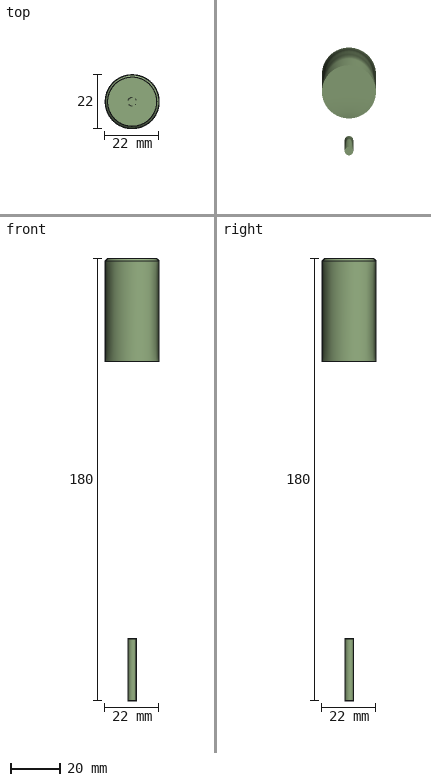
import cadquery as cq

overall_height = 180.0

cap_diameter = 22.0
cap_height = 42.0
rim_bevel = 1.0

pin_diameter = 3.5
pin_length = 25.35


def make_cap():
    """Revolve the half section of the cap about the Z axis."""
    radius = cap_diameter / 2
    bottom = overall_height - cap_height
    return (
        cq.Workplane("XZ")
        .moveTo(0, bottom)
        .lineTo(radius, bottom)
        .lineTo(radius, overall_height - rim_bevel)
        .lineTo(radius - rim_bevel, overall_height)
        .lineTo(0, overall_height)
        .close()
        .revolve(360, (0, 0), (0, 1))
    )


def make_pin():
    """Extrude the pin upward from Z = 0."""
    return cq.Workplane("XY").circle(pin_diameter / 2).extrude(pin_length)


cap = make_cap()
pin = make_pin()

result = cq.Compound.makeCompound([cap.val(), pin.val()])